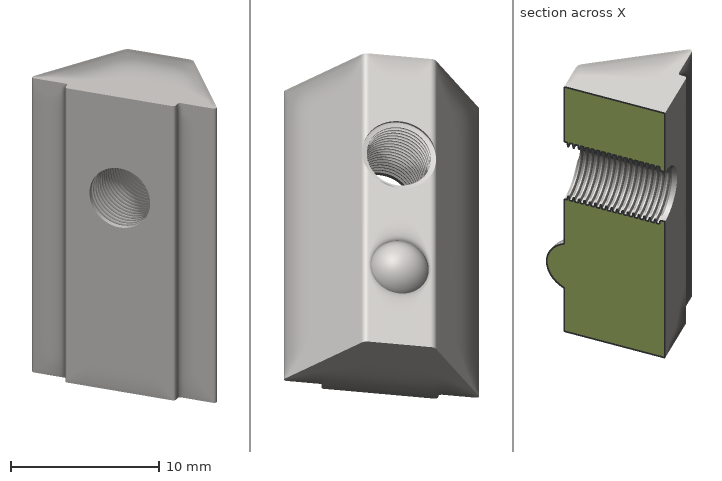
import cadquery as cq
import math

length = 21.9
width = 13.35
body_depth = 7.31
total_depth = 8.6
rib_width = 8.0
rib_depth = 0.65
flank_angle = 56.3
edge_radius = 0.2
top_radius = 0.53

hole_z = 14.4
minor_diameter = 4.4
major_diameter = 5.08
pitch = 0.4
groove_count = 18
groove_mouth = 0.3
groove_floor = 0.2

ball_z = 5.87
ball_radius = 2.2

flank = math.radians(flank_angle)
tip_x = width / 2 - edge_radius + edge_radius / math.tan(flank / 2)
top_x = tip_x - (body_depth - rib_depth) / math.tan(flank)
rib_x = rib_width / 2


def make_body():
    outline = [
        (-rib_x, 0),
        (rib_x, 0),
        (rib_x, rib_depth),
        (tip_x, rib_depth),
        (top_x, body_depth),
        (-top_x, body_depth),
        (-tip_x, rib_depth),
        (-rib_x, rib_depth),
    ]
    body = cq.Workplane("XY").polyline(outline).close().extrude(length)
    top_edges = body.faces(">Y").edges("|Z")
    body = top_edges.fillet(top_radius)
    middle = body_depth / 2
    lower_edges = cq.selectors.BoxSelector((-width, -0.22, 0), (width, middle, length))
    return body.edges("|Z").edges(lower_edges).fillet(edge_radius)


def make_threaded_hole():
    crest = minor_diameter / 2
    root = major_diameter / 2
    outline = [(0, 0), (crest, 0)]
    last_center = body_depth - groove_floor / 2
    for i in range(groove_count):
        center = last_center - (groove_count - 1 - i) * pitch
        outline += [
            (crest, center - groove_mouth / 2),
            (root, center - groove_floor / 2),
            (root, center + groove_floor / 2),
            (crest, center + groove_mouth / 2),
        ]
    outline[-1] = (0, body_depth)
    cutter = cq.Workplane("XY").polyline(outline).close().revolve(360, (0, 0, 0), (0, 1, 0))
    return cutter.translate((0, 0, hole_z))


def make_ball():
    return cq.Workplane("XY").sphere(ball_radius).translate((0, total_depth - ball_radius, ball_z))


result = make_body().cut(make_threaded_hole()).union(make_ball())